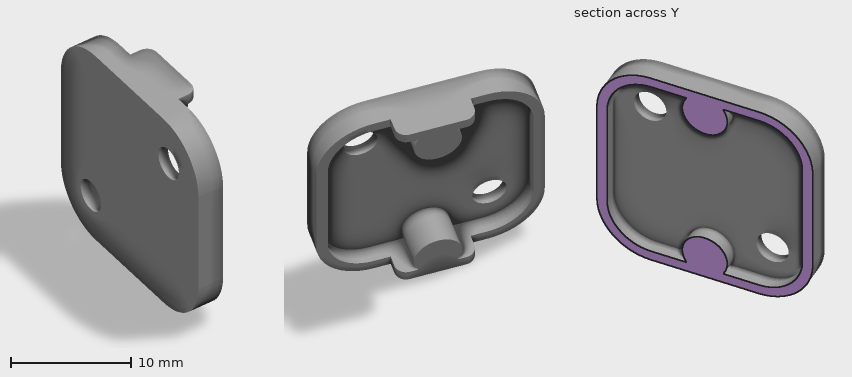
import cadquery as cq
import math

plate_side = 20.0
plate_thickness = 2.5
corner_radius = 5.0

front_thickness = 1.0
rim_thickness = 1.0

hole_pitch_radius = 8.0
hole_diameter = 3.0
hole_offset = hole_pitch_radius * math.cos(math.radians(45))

boss_radius = 2.1
boss_offset = 7.8

tab_width = 7.0
tab_height = rim_thickness
tab_depth = 2.0
tab_corner_radius = 1.0

total_depth = plate_thickness + tab_depth
half_side = plate_side / 2


def make_plate():
    """Hollow-backed rounded square plate with its front face on Y = 0 and its back toward +Y."""
    plate = cq.Workplane("XY").box(plate_side, plate_thickness, plate_side, centered=(True, False, True))
    plate = plate.edges("|Y").fillet(corner_radius)
    cavity_side = plate_side - 2 * rim_thickness
    cavity = (
        cq.Workplane("XY")
        .box(cavity_side, plate_thickness - front_thickness, cavity_side, centered=(True, False, True))
        .edges("|Y")
        .fillet(corner_radius - rim_thickness)
        .translate((0, front_thickness, 0))
    )
    return plate.cut(cavity)


def make_top_tab():
    """Tab flush with the plate's top edge, its two rear corners rounded."""
    tab = cq.Workplane("XY").box(tab_width, total_depth, tab_height, centered=(True, False, False))
    tab = tab.edges("|Z and >Y").fillet(tab_corner_radius)
    return tab.translate((0, 0, half_side - tab_height))


def make_top_boss():
    """Round boss below the tab, cut off flat where it meets the tab."""
    boss = (
        cq.Workplane("XZ")
        .center(0, boss_offset)
        .circle(boss_radius)
        .extrude(-total_depth)
    )
    below_tab = cq.Workplane("XY").box(
        plate_side, total_depth, half_side - tab_height, centered=(True, False, False)
    )
    return boss.intersect(below_tab)


top_support = make_top_tab().union(make_top_boss())
bottom_support = top_support.mirror("XY")
holes = (
    cq.Workplane("XZ")
    .pushPoints([(hole_offset, hole_offset), (-hole_offset, -hole_offset)])
    .circle(hole_diameter / 2)
    .extrude(-total_depth)
)

result = make_plate().union(top_support).union(bottom_support).cut(holes)